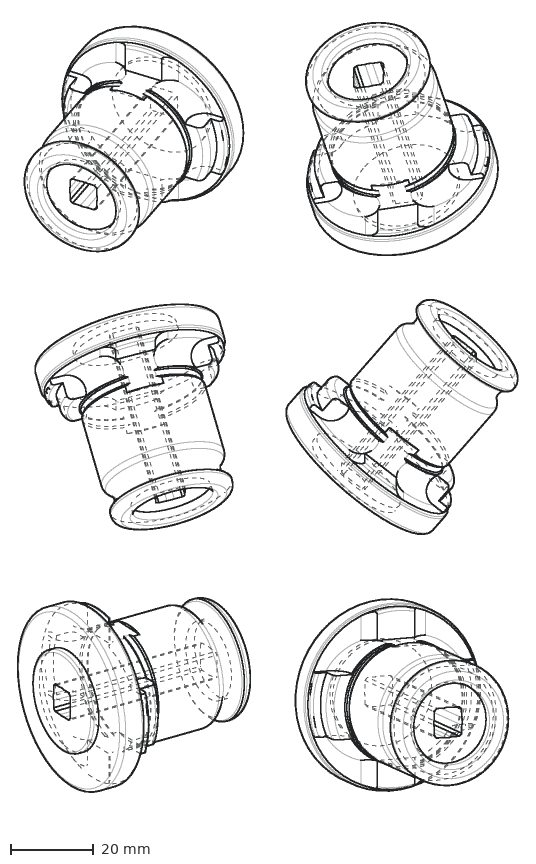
import cadquery as cq
import math


hub_radius = 13.05
hub_fillet = 0.6
flange_radius = 23.15
flange_rear_at = 2.05
flange_rear_fillet = 1.05
flange_front_at = 8.9
flange_front_round = 0.7

ledge_radius = 22.45
ledge_front_at = 10.6
ledge_fillet = 0.65
lug_radius = 19.85
lug_front_at = 15.35
lug_fillet = 1.45
lug_half_height = 7.9

collar_radius = 15.15
collar_root_fillet = 0.35
collar_end_at = 17.3
body_radius = 15.45
body_start_at = 17.83
body_end_at = 35.37

groove_start_at = 36.9
groove_end_at = 42.3
groove_edge_radius = 14.85
groove_floor_radius = 13.4
lip_radius = 15.33
lip_start_at = 42.8
lip_fillet = 2.1
length = 45.5

recess_radius = 10.0
recess_depth = 3.0
recess_fillet = 1.0
drive_width = 7.25
drive_corner_radius = 4.68
drive_bore_radius = 3.75

flat_half_height = 14.75
flat_end_at = 19.5
hollow_radius = 4.5
hollow_x_at_lug = 13.35
hollow_x_at_flat = 4.0
hollow_path_radius = 15.2

clearance = 13.9

diagonal = math.sqrt(0.5)


def rounded_step(outline, radius, front_at, fillet):
    """Add a wall of the given radius that ends in a quarter round onto a front face."""
    outline = outline.lineTo(radius, -front_at + fillet)
    return outline.radiusArc((radius - fillet, -front_at), fillet)


def turned_body():
    """Revolve the half outline of hub, flange, bayonet ring, body, groove and lip."""
    bevel_radius = flange_radius - flange_front_round * (1 - diagonal)
    bevel_at = flange_front_at - (bevel_radius - ledge_radius)

    outline = cq.Workplane("XY").lineTo(hub_radius - hub_fillet, 0)
    outline = outline.radiusArc((hub_radius, -hub_fillet), hub_fillet)
    outline = outline.lineTo(hub_radius, -flange_rear_at)
    outline = outline.lineTo(flange_radius - flange_rear_fillet, -flange_rear_at)
    outline = outline.radiusArc((flange_radius, -flange_rear_at - flange_rear_fillet), flange_rear_fillet)
    outline = outline.lineTo(flange_radius, -bevel_at + flange_front_round * diagonal)
    outline = outline.radiusArc((bevel_radius, -bevel_at), flange_front_round)
    outline = outline.lineTo(ledge_radius, -flange_front_at)
    outline = rounded_step(outline, ledge_radius, ledge_front_at, ledge_fillet)
    outline = outline.lineTo(lug_radius, -ledge_front_at)
    outline = rounded_step(outline, lug_radius, lug_front_at, lug_fillet)
    outline = outline.lineTo(collar_radius + collar_root_fillet, -lug_front_at)
    outline = outline.radiusArc((collar_radius, -lug_front_at - collar_root_fillet), -collar_root_fillet)
    outline = outline.lineTo(collar_radius, -collar_end_at)
    outline = outline.lineTo(body_radius, -body_start_at)
    outline = outline.lineTo(body_radius, -body_end_at)
    outline = outline.tangentArcPoint((groove_edge_radius, -groove_start_at), relative=False)
    outline = outline.threePointArc(
        (groove_floor_radius, -(groove_start_at + groove_end_at) / 2), (groove_edge_radius, -groove_end_at))
    outline = outline.lineTo(lip_radius, -lip_start_at)
    outline = rounded_step(outline, lip_radius, length, lip_fillet)
    outline = outline.lineTo(0, -length).close()
    return outline.revolve(360, (0, 0, 0), (0, 1, 0))


def hollow_section(z, nearest_x):
    """Region at height z on the +X side, bounded inward by the hollow's round wall."""
    center_x = nearest_x + hollow_radius
    center_at = flange_front_at + hollow_radius
    front_x = center_x - math.sqrt(hollow_radius**2 - (lug_front_at - center_at)**2)
    far_x = nearest_x + flange_radius + clearance
    return (
        cq.Workplane("XY", origin=(0, 0, z))
        .moveTo(center_x, -flange_front_at)
        .threePointArc((nearest_x, -center_at), (front_x, -lug_front_at))
        .lineTo(far_x, -lug_front_at)
        .lineTo(far_x, -flange_front_at)
        .close()
    )


def hollow_cutters():
    """Two cutters for one quadrant: a section slid along an arc unturned, then pulled straight up."""
    path = (
        cq.Workplane("XZ")
        .moveTo(hollow_x_at_lug, lug_half_height)
        .radiusArc((hollow_x_at_flat, flat_half_height), -hollow_path_radius)
    )
    beside_neck = hollow_section(lug_half_height, hollow_x_at_lug).sweep(path, normal=(0, 0, 1))
    beside_block = hollow_section(flat_half_height, hollow_x_at_flat).extrude(clearance)
    return beside_neck, beside_block


def flat_cutter():
    """Cutter that leaves a flat over the neck, ahead of the ledge block."""
    return cq.Workplane("XY").box(
        2 * flange_radius, flat_end_at - ledge_front_at, clearance, centered=(True, False, False)
    ).translate((0, -flat_end_at, flat_half_height))


def nose_recess():
    """Round recess whose rim is rounded over onto the nose face."""
    rim_radius = recess_radius + recess_fillet
    return (
        cq.Workplane("XY")
        .moveTo(0, -length)
        .lineTo(rim_radius, -length)
        .threePointArc(
            (rim_radius - recess_fillet * diagonal, -length + recess_fillet * (1 - diagonal)),
            (recess_radius, -length + recess_fillet))
        .lineTo(recess_radius, -length + recess_depth)
        .lineTo(0, -length + recess_depth)
        .close()
        .revolve(360, (0, 0, 0), (0, 1, 0))
    )


def drive_hole():
    """Square through hole with corners trimmed by one circle and sides grooved by a smaller one."""
    square = cq.Workplane("XZ").rect(drive_width, drive_width).extrude(length)
    corner_trim = cq.Workplane("XZ").circle(drive_corner_radius).extrude(length)
    bore = cq.Workplane("XZ").circle(drive_bore_radius).extrude(length)
    return square.intersect(corner_trim).union(bore)


result = turned_body()
for cutter in (*hollow_cutters(), flat_cutter()):
    right_side = cutter.union(cutter.mirror("YZ"))
    result = result.cut(right_side).cut(right_side.mirror("XY"))
result = result.cut(nose_recess()).cut(drive_hole())